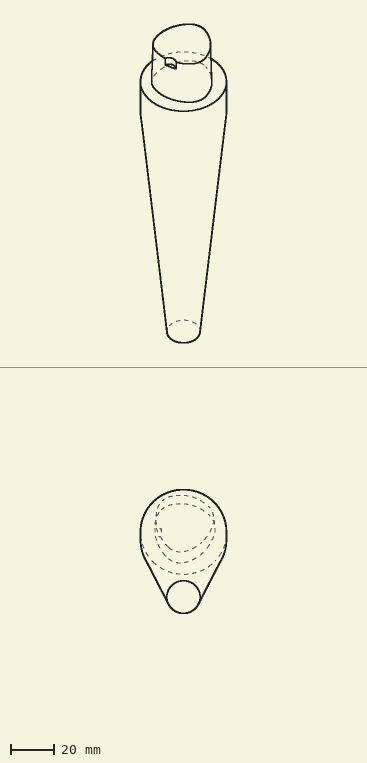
import cadquery as cq
import math

total_length = 184.0
collar_diameter = 40.0
collar_height = 20.0
shank_height = 24.0
tip_diameter = 15.5
cone_height = total_length - collar_height - shank_height
collar_top = cone_height + collar_height

shank_base_width = 28.0
lobe_center_distance = 5.9
taper_ratio = 1 / 20
lobe_angles = (90, 210, 330)
lobe_half_angle = 30

notch_radius = 3.5
notch_floor_offset = 10.9
notch_depth = 4.0


def polar_point(center, radius, angle):
    """Point at the given radius and angle in degrees around a center."""
    direction = math.radians(angle)
    return center[0] + radius * math.cos(direction), center[1] + radius * math.sin(direction)


def make_body():
    """Tapered handle with its cylindrical collar."""
    collar_radius = collar_diameter / 2
    return (
        cq.Workplane("XZ")
        .lineTo(tip_diameter / 2, 0)
        .lineTo(collar_radius, cone_height)
        .lineTo(collar_radius, collar_top)
        .lineTo(0, collar_top)
        .close()
        .revolve(360, (0, 0), (0, 1))
    )


def draw_lobed_profile(plane, width):
    """Add the closed lobed outline of the given width to a workplane."""
    lobe_radius = (width - math.sqrt(3) * lobe_center_distance) / 2
    flank_middle_radius = width - lobe_radius - lobe_center_distance
    origin = (0, 0)

    def lobe_point(angle, offset):
        center = polar_point(origin, lobe_center_distance, angle)
        return polar_point(center, lobe_radius, angle + offset)

    plane = plane.moveTo(*lobe_point(lobe_angles[0], -lobe_half_angle))
    for angle in lobe_angles:
        next_angle = angle + 120
        plane = plane.threePointArc(lobe_point(angle, 0), lobe_point(angle, lobe_half_angle))
        flank_middle = polar_point(origin, flank_middle_radius, angle + 60)
        plane = plane.threePointArc(flank_middle, lobe_point(next_angle, -lobe_half_angle))
    return plane.close()


def make_shank():
    """Lobed shank narrowing evenly towards its top face."""
    top_width = shank_base_width - taper_ratio * shank_height
    base = draw_lobed_profile(cq.Workplane("XY").workplane(offset=collar_top), shank_base_width)
    return draw_lobed_profile(base.workplane(offset=shank_height), top_width).loft(ruled=True)


def make_notch_cutter():
    """Vertical cylinder that cuts the notch from the top face down."""
    return (
        cq.Workplane("XY")
        .workplane(offset=total_length - notch_depth)
        .center(0, -notch_floor_offset - notch_radius)
        .circle(notch_radius)
        .extrude(notch_depth)
    )


result = make_body().union(make_shank()).cut(make_notch_cutter())